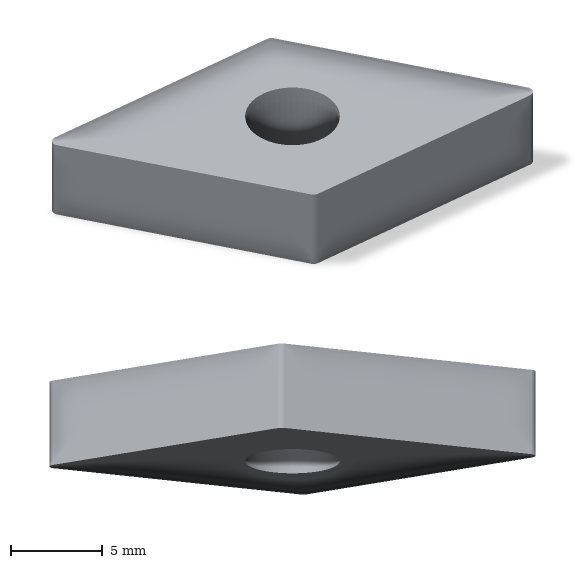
import cadquery as cq
import math

overall_length = 23.65
thickness = 4.75
nose_angle = math.radians(55)
corner_radius = 0.4
hole_diameter = 5.15

nose_setback = corner_radius * (1 / math.tan(nose_angle / 2) - 1)
sharp_length = overall_length + 2 * nose_setback

side = sharp_length / (1 + math.cos(nose_angle))
width = side * math.sin(nose_angle)
half_length = sharp_length / 2
half_width = width / 2

corners = [
    (-half_length, -half_width),
    (side - half_length, -half_width),
    (half_length, half_width),
    (half_length - side, half_width),
]
body = cq.Workplane("XY").polyline(corners).close().extrude(thickness)

body = body.edges("|Z").fillet(corner_radius)

result = body.faces(">Z").workplane(origin=(0, 0, thickness)).hole(hole_diameter)